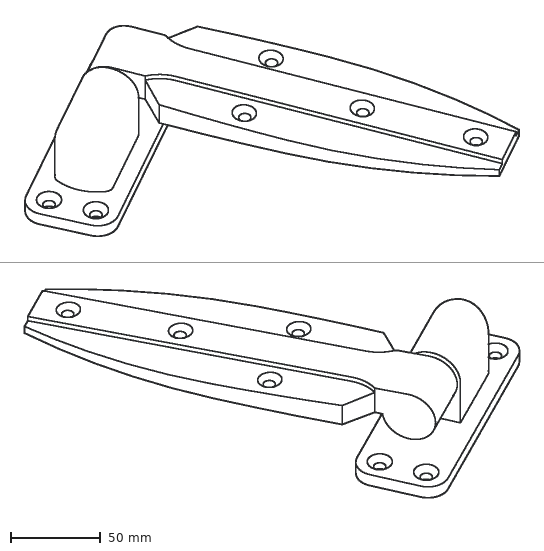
import cadquery as cq
import math

plate_length = 139.5
plate_width = 54.0
plate_thickness = 8.0
plate_corner_radius = 12.0
plate_hole_spacing = 27.5
plate_hole_edge = 12.7
plate_sink_diameter = 14.0

screw_diameter = 6.9
sink_angle = 90
sink_slope = math.tan(math.radians(sink_angle / 2))

total_height = 53.5
housing_width = 33.8
housing_front = 25.7
housing_back = 79.3
housing_nose_radius = 30.5
housing_fillet = 5.0

axis_x = plate_width / 2
axis_z = total_height - housing_width / 2
knuckle_radius = 15.8
knuckle_width = 35.9
collar_radius = 11.0
knuckle_gap = 2.0
knuckle_front = housing_back + knuckle_gap
arm_y = knuckle_front + knuckle_width / 2

arm_end = 254.3
arm_bottom = 34.0
arm_end_top = 42.0
wing_step = 3.0
wing_start = 47.0
wing_shoulder_x = 60.5
wing_shoulder_half = 34.3
wing_peak_x = 136.5
wing_peak_half = 36.5
wing_end_half = 17.5
rib_half = 12.2
rib_straight_x = 63.0

wing_hole_x = 107.3
wing_hole_offset = 24.0
rib_hole_positions = [168.5, 235.0]
arm_sink_diameter = 13.5

end_dx = arm_end - axis_x
end_dz = arm_end_top - axis_z
arm_slope = math.asin(knuckle_radius / math.hypot(end_dx, end_dz)) - math.atan2(end_dz, end_dx)
tangent_x = axis_x + knuckle_radius * math.sin(arm_slope)


def rib_top(x):
    """Height of the sloping rib surface at x."""
    return arm_end_top + (arm_end - x) * math.tan(arm_slope)


def wing_top(x):
    """Height of the wing surface, parallel to the rib surface."""
    return rib_top(x) - wing_step


def drill(body, x, y, surface_z, sink_diameter):
    """Cut a vertical countersunk through hole that starts at surface_z."""
    sink_depth = (sink_diameter - screw_diameter) / 2 / sink_slope
    bore = cq.Workplane().center(x, y).circle(screw_diameter / 2).extrude(total_height)
    cone_height = 2 * sink_depth
    cone = cq.Solid.makeCone(
        screw_diameter / 2,
        screw_diameter / 2 + cone_height * sink_slope,
        cone_height,
        pnt=cq.Vector(x, y, surface_z - sink_depth),
    )
    return body.cut(bore).cut(cq.Workplane(cone))


def make_plate():
    plate = (
        cq.Workplane()
        .box(plate_width, plate_length, plate_thickness, centered=False)
        .edges("|Z")
        .fillet(plate_corner_radius)
    )
    for side in (-1, 1):
        for y in (plate_hole_edge, plate_length - plate_hole_edge):
            hole_x = plate_width / 2 + side * plate_hole_spacing / 2
            plate = drill(plate, hole_x, y, plate_thickness, plate_sink_diameter)
    return plate


def make_housing():
    """Round-topped block with a bowed front, filleted along the front rim."""
    half = housing_width / 2
    nose_center_y = housing_front + housing_nose_radius
    nose_corner_y = nose_center_y - math.sqrt(housing_nose_radius**2 - half**2)
    footprint = (
        cq.Workplane()
        .moveTo(axis_x - half, housing_back)
        .lineTo(axis_x - half, nose_corner_y)
        .threePointArc((axis_x, housing_front), (axis_x + half, nose_corner_y))
        .lineTo(axis_x + half, housing_back)
        .close()
        .extrude(total_height)
    )
    arch = (
        cq.Workplane("XZ", origin=(0, housing_back, 0))
        .moveTo(axis_x - half, 0)
        .lineTo(axis_x - half, axis_z)
        .threePointArc((axis_x, total_height), (axis_x + half, axis_z))
        .lineTo(axis_x + half, 0)
        .close()
        .extrude(housing_back)
    )
    block = footprint.intersect(arch)
    rim = cq.selectors.BoxSelector(
        (axis_x - housing_width, 0, plate_thickness),
        (axis_x + housing_width, nose_corner_y + housing_fillet / 2, total_height + housing_fillet),
    )
    return block.edges(rim).fillet(housing_fillet)


def make_knuckle():
    knuckle = (
        cq.Workplane("XZ", origin=(axis_x, knuckle_front + knuckle_width, axis_z))
        .circle(knuckle_radius)
        .extrude(knuckle_width)
    )
    collar = (
        cq.Workplane("XZ", origin=(axis_x, knuckle_front, axis_z))
        .circle(collar_radius)
        .extrude(knuckle_gap)
    )
    return knuckle.union(collar)


def make_sloped(outline, start_x, top):
    """Raise a plan outline from the arm bottom to the sloping surface top(x)."""
    envelope = (
        cq.Workplane("XZ", origin=(0, arm_y, 0))
        .moveTo(start_x, arm_bottom)
        .lineTo(arm_end, arm_bottom)
        .lineTo(arm_end, top(arm_end))
        .lineTo(start_x, top(start_x))
        .close()
        .extrude(wing_peak_half * 2, both=True)
    )
    return outline.extrude(total_height).intersect(envelope)


def bowed_middle(x, half):
    """Middle of the arc from (x, half) to the widest point, level at that point."""
    run = x - wing_peak_x
    drop = wing_peak_half - half
    radius = (run**2 + drop**2) / (2 * drop)
    angle = math.asin(run / radius) / 2
    return (
        wing_peak_x + radius * math.sin(angle),
        wing_peak_half - radius * (1 - math.cos(angle)),
    )


def make_wings():
    half = knuckle_width / 2
    shoulder_mid = bowed_middle(wing_shoulder_x, wing_shoulder_half)
    tip_mid = bowed_middle(arm_end, wing_end_half)
    plan = (
        cq.Workplane(origin=(0, arm_y, 0))
        .moveTo(wing_start, half)
        .lineTo(wing_shoulder_x, wing_shoulder_half)
        .threePointArc(shoulder_mid, (wing_peak_x, wing_peak_half))
        .threePointArc(tip_mid, (arm_end, wing_end_half))
        .lineTo(arm_end, 0)
        .lineTo(wing_start, 0)
        .close()
    )
    wing = make_sloped(plan, wing_start, wing_top)
    return wing.union(wing.mirror("XZ", (0, arm_y, 0)))


def make_rib():
    """Central rib that narrows from the knuckle width through tangent arcs."""
    half = knuckle_width / 2
    plan = (
        cq.Workplane(origin=(0, arm_y, 0))
        .moveTo(arm_end, 0)
        .lineTo(arm_end, rib_half)
        .lineTo(rib_straight_x, rib_half)
        .tangentArcPoint((wing_start, half), relative=False)
        .lineTo(tangent_x, half)
        .lineTo(tangent_x, 0)
        .close()
    )
    half_rib = make_sloped(plan, tangent_x, rib_top)
    return half_rib.union(half_rib.mirror("XZ", (0, arm_y, 0)))


def make_arm():
    arm = make_knuckle().union(make_rib()).union(make_wings())
    for side in (-1, 1):
        hole_y = arm_y + side * wing_hole_offset
        arm = drill(arm, wing_hole_x, hole_y, wing_top(wing_hole_x), arm_sink_diameter)
    for x in rib_hole_positions:
        arm = drill(arm, x, arm_y, rib_top(x), arm_sink_diameter)
    return arm


base = make_plate().union(make_housing())
arm = make_arm()

result = cq.Compound.makeCompound([base.val(), arm.val()])